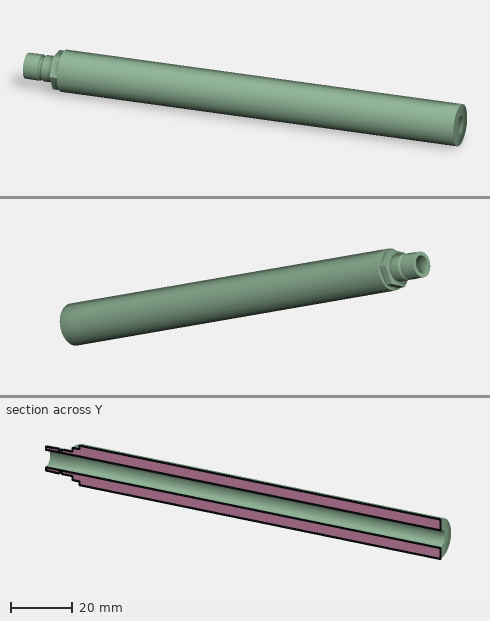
import cadquery as cq
import math

total_length = 150.0
body_diameter = 14.0
bore_diameter = 6.0

tip_diameter = 8.5
spigot_diameter = 8.7
spigot_length = 10.0
flare_length = 3.8
groove_start = 5.1
groove_width = 1.4
groove_depth = 0.5
groove_floor_width = 0.8

hex_across_flats = 11.4
hex_length = 2.7


def spigot():
    """Turned spigot, revolved from its half profile about X."""
    radius = spigot_diameter / 2
    groove_end = groove_start + groove_width
    groove_radius = radius - groove_depth
    profile = cq.Workplane("XY").polyline([
        (0, 0),
        (0, tip_diameter / 2),
        (flare_length, radius),
        (groove_start, radius),
        (groove_start, groove_radius),
        (groove_start + groove_floor_width, groove_radius),
        (groove_end, radius),
        (spigot_length, radius),
        (spigot_length, 0),
    ]).close()
    return profile.revolve(360, (0, 0, 0), (1, 0, 0))


def hex_collar():
    """Hexagonal prism with corners on +Y and -Y and flats on top and bottom."""
    across_corners = hex_across_flats / math.cos(math.pi / 6)
    return (
        cq.Workplane("YZ", origin=(spigot_length, 0, 0))
        .polygon(6, across_corners)
        .extrude(hex_length)
    )


def body():
    """Long plain cylinder filling the rest of the length."""
    body_start = spigot_length + hex_length
    return (
        cq.Workplane("YZ", origin=(body_start, 0, 0))
        .circle(body_diameter / 2)
        .extrude(total_length - body_start)
    )


def bore():
    """Straight hole running the full length of the part."""
    return cq.Workplane("YZ").circle(bore_diameter / 2).extrude(total_length)


result = spigot().union(hex_collar()).union(body()).cut(bore())